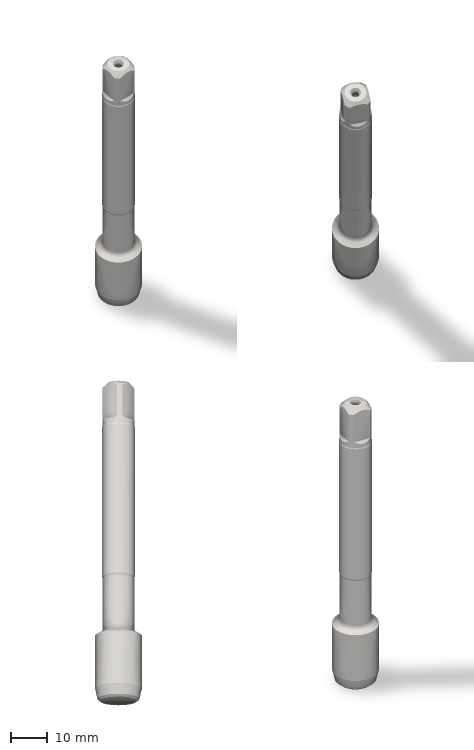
import cadquery as cq
import math

total_length = 89.0
split_height = 18.0

head_diameter = 12.8
lead_height = 3.6
lead_end_diameter = 11.5
tip_chamfer_height = 0.6
tip_diameter = 10.1

collar_height = 18.25
neck_diameter = 8.6
neck_fillet_radius = 1.25
neck_top = 34.35

shank_diameter = 9.0
neck_taper_length = 0.5
shank_top = 76.7
shank_taper_length = 0.3

drive_diameter = 8.7
square_size = 7.2
flat_bottom = 78.85
end_face_diameter = 5.9

hole_diameter = 2.0
hole_mouth_diameter = 3.0
countersink_depth = (hole_mouth_diameter - hole_diameter) / 2 / math.tan(math.radians(30))
hole_depth = 3.1
hole_point_depth = hole_diameter / 2 / math.tan(math.radians(60))


def revolve_profile(profile):
    """Revolve a closed radius-height outline about Z."""
    return profile.close().revolve(360, (0, 0, 0), (0, 1, 0))


def make_cutting_head():
    profile = (
        cq.Workplane("XZ")
        .lineTo(tip_diameter / 2, 0)
        .lineTo(lead_end_diameter / 2, tip_chamfer_height)
        .lineTo(head_diameter / 2, lead_height)
        .lineTo(head_diameter / 2, split_height)
        .lineTo(0, split_height)
    )
    return revolve_profile(profile)


def make_shank_blank():
    neck_radius = neck_diameter / 2
    turn = math.radians(60)
    fillet_end_radius = neck_radius + neck_fillet_radius * (1 - math.cos(turn))
    shoulder_rise = (head_diameter / 2 - fillet_end_radius) / math.tan(turn)
    fillet_end_height = collar_height + shoulder_rise
    fillet_top = fillet_end_height + neck_fillet_radius * math.sin(turn)
    fillet_middle = (
        neck_radius + neck_fillet_radius * (1 - math.cos(turn / 2)),
        fillet_top - neck_fillet_radius * math.sin(turn / 2),
    )
    end_chamfer = (drive_diameter - end_face_diameter) / 2
    profile = (
        cq.Workplane("XZ")
        .moveTo(0, split_height)
        .lineTo(head_diameter / 2, split_height)
        .lineTo(head_diameter / 2, collar_height)
        .lineTo(fillet_end_radius, fillet_end_height)
        .threePointArc(fillet_middle, (neck_radius, fillet_top))
        .lineTo(neck_radius, neck_top)
        .lineTo(shank_diameter / 2, neck_top + neck_taper_length)
        .lineTo(shank_diameter / 2, shank_top)
        .lineTo(drive_diameter / 2, shank_top + shank_taper_length)
        .lineTo(drive_diameter / 2, total_length - end_chamfer)
        .lineTo(end_face_diameter / 2, total_length)
        .lineTo(0, total_length)
    )
    return revolve_profile(profile)


def make_flat_cutter(angle):
    """Material removed for one flat, with a 45 degree run-out at its lower end."""
    inner = square_size / 2
    outer = shank_diameter
    return (
        cq.Workplane("XZ")
        .moveTo(inner, flat_bottom)
        .lineTo(outer, flat_bottom - (outer - inner))
        .lineTo(outer, total_length)
        .lineTo(inner, total_length)
        .close()
        .extrude(shank_diameter, both=True)
        .rotate((0, 0, 0), (0, 0, 1), angle)
    )


def make_center_hole():
    wall_bottom = total_length - hole_depth
    profile = (
        cq.Workplane("XZ")
        .moveTo(0, total_length)
        .lineTo(hole_mouth_diameter / 2, total_length)
        .lineTo(hole_diameter / 2, total_length - countersink_depth)
        .lineTo(hole_diameter / 2, wall_bottom)
        .lineTo(0, wall_bottom - hole_point_depth)
    )
    return revolve_profile(profile)


def make_shank():
    shank = make_shank_blank()
    for side in range(4):
        shank = shank.cut(make_flat_cutter(90 * side))
    return shank.cut(make_center_hole())


cutting_head = make_cutting_head()
shank = make_shank()
result = cq.Compound.makeCompound([cutting_head.val(), shank.val()])